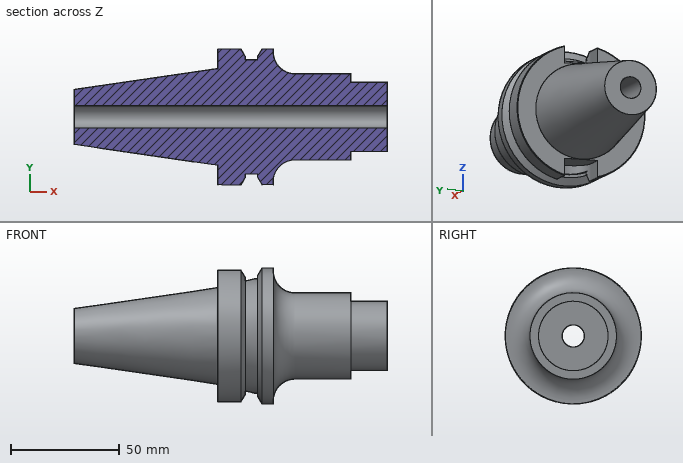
import cadquery as cq
import math

total_length = 144.7
taper_end = 65.7
flange_start = 66.3
groove_start = 79.2
groove_end = 84.7
flange_end = 92.0
body_end = 127.8

flange_radius = 31.48
groove_radius = 26.5
body_radius = 20.0
nose_radius = 16.0
bore_radius = 5.0
small_end_radius = 12.7
taper_ratio = 7 / 24
gauge_radius = small_end_radius + taper_end * taper_ratio / 2

flank_length = 2.2
flank_depth = 3.6
flank_radius = flange_radius - flank_depth
blend_radius = 10.0
rim_chamfer = 0.3

slot_width = 16.2
slot_floor = 22.5
slot_end = 83.4


def make_body():
    """Revolve the half profile of the holder about the X axis."""
    blend_end = flange_end + blend_radius
    blend_center_radius = body_radius + blend_radius
    diagonal = blend_radius * math.sqrt(0.5)
    blend_middle = (blend_end - diagonal, blend_center_radius - diagonal)
    profile = (
        cq.Workplane("XY")
        .moveTo(0, 0)
        .lineTo(0, small_end_radius)
        .lineTo(taper_end, gauge_radius)
        .lineTo(flange_start, gauge_radius)
        .lineTo(flange_start, flange_radius - rim_chamfer)
        .lineTo(flange_start + rim_chamfer, flange_radius)
        .lineTo(groove_start - flank_length, flange_radius)
        .lineTo(groove_start, flank_radius)
        .lineTo(groove_start, groove_radius)
        .lineTo(groove_end, groove_radius)
        .lineTo(groove_end, flank_radius)
        .lineTo(groove_end + flank_length, flange_radius)
        .lineTo(flange_end, flange_radius)
        .lineTo(flange_end, blend_center_radius)
        .threePointArc(blend_middle, (blend_end, body_radius))
        .lineTo(body_end, body_radius)
        .lineTo(body_end, nose_radius)
        .lineTo(total_length, nose_radius)
        .lineTo(total_length, 0)
        .close()
    )
    return profile.revolve(360, (0, 0, 0), (1, 0, 0))


def make_drive_slot():
    """Round-ended cutter for the upper drive slot, open toward the taper."""
    half_width = slot_width / 2
    arc_start = slot_end - half_width
    return (
        cq.Workplane("XY")
        .workplane(offset=slot_floor)
        .moveTo(flange_start, -half_width)
        .lineTo(arc_start, -half_width)
        .threePointArc((slot_end, 0), (arc_start, half_width))
        .lineTo(flange_start, half_width)
        .close()
        .extrude(flange_radius - slot_floor)
    )


def make_bore():
    """Through bore along the X axis."""
    return cq.Workplane("YZ").circle(bore_radius).extrude(total_length)


upper_slot = make_drive_slot()
lower_slot = upper_slot.mirror("XY")
result = make_body().cut(upper_slot).cut(lower_slot).cut(make_bore())